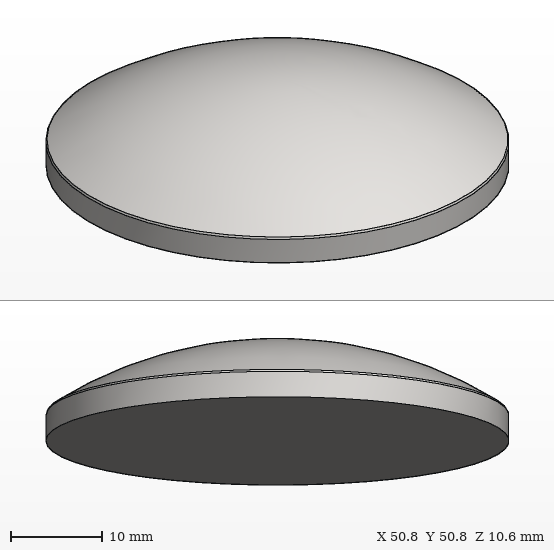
import cadquery as cq

diameter = 50.8
height = 10.6

rim_height = 2.85
chamfer_width = 0.125
chamfer_height = 0.24

radius = diameter / 2
dome_radius = radius - chamfer_width
dome_base = rim_height + chamfer_height
dome_rise = height - dome_base

sphere_radius = (dome_radius**2 + dome_rise**2) / (2 * dome_rise)
sphere_center_z = height - sphere_radius
mid_radius = dome_radius / 2
mid_z = sphere_center_z + (sphere_radius**2 - mid_radius**2) ** 0.5

result = (
    cq.Workplane("XZ")
    .lineTo(radius, 0)
    .lineTo(radius, rim_height)
    .lineTo(dome_radius, dome_base)
    .threePointArc((mid_radius, mid_z), (0, height))
    .close()
    .revolve(360, (0, 0), (0, 1))
)